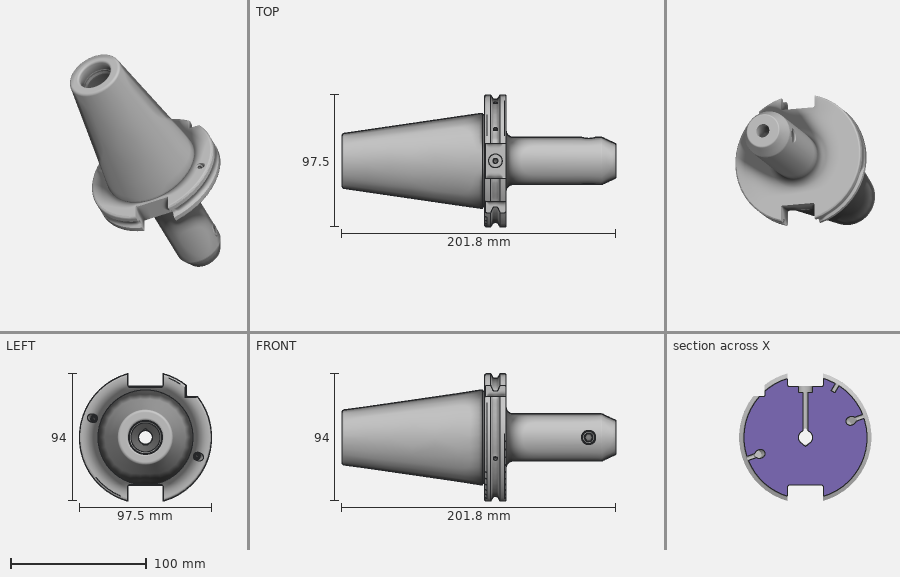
import cadquery as cq
import math

TOTAL_LENGTH = 201.8
GAUGE_X = 102.3
FLANGE_FRONT_X = 105.0
FLANGE_BACK_X = 120.8
GROOVE_X = 113.0
CLAMP_X = 181.5

GAUGE_RADIUS = 70.0 / 2
TAPER_RATIO = 7 / 24
SMALL_END_RADIUS = GAUGE_RADIUS - GAUGE_X * TAPER_RATIO / 2
SMALL_END_FILLET = 2.0
NECK_X = 103.3
NECK_RADIUS = 34.0

FLANGE_RADIUS = 97.5 / 2
FLANGE_FRONT_FILLET = 1.8
FLANGE_BACK_FILLET = 1.2
GROOVE_DEPTH = 3.2
GROOVE_FLOOR_WIDTH = 3.2
GROOVE_WALL_ANGLE = 30.0
GROOVE_FILLET = 1.5
GROOVE_FLOOR_RADIUS = FLANGE_RADIUS - GROOVE_DEPTH
FLANGE_WIDTH = FLANGE_BACK_X - FLANGE_FRONT_X
RIM_CLEAR = FLANGE_RADIUS + 2.0

SLOT_WIDTH = 25.8
SLOT_FLOOR_TOP = 37.7
SLOT_FLOOR_BOTTOM = 35.3
NOTCH_Y = 30.0
NOTCH_Z = 30.3
CUT_CHAMFER = 0.8
CUT_CORNER_FILLET = 0.8

SHANK_RADIUS = 35.0 / 2
SHANK_FILLET = 5.0
NOSE_START_X = 191.3
NOSE_RADIUS = 12.5
NOSE_FILLET = 1.2
NOSE_START_FILLET = 2.5

MOUTH_FILLET = 1.6
COUNTERBORE_RADIUS = 12.5
COUNTERBORE_DEPTH = 8.7
THREAD_RADIUS = 12.0
THREAD_LEAD_DEPTH = 10.0
PILOT_RADIUS = 10.7
BORE_RADIUS = 5.0
CONE_END_X = 112.0
DRILL_HALF_ANGLE = 59.0
CONE_LENGTH = (PILOT_RADIUS - BORE_RADIUS) / math.tan(math.radians(DRILL_HALF_ANGLE))

POCKET_RADIUS = 5.0
POCKET_DEPTH = 4.6
CROSS_HOLE_RADIUS = 1.8
CROSS_HOLE_REACH = 5.2

COOLANT_ANGLES = (20.0, 200.0)
COOLANT_START_RADIUS = 41.5
COOLANT_TILT = 36.0
COOLANT_RADIUS = 3.0
COOLANT_DEPTH = 12.1
RIM_HOLE_RADIUS = 1.5
RIM_HOLE_DEPTH = 6.0
MARK_HOLE_ANGLE = 59.0

CLAMP_HOLE_RADIUS = 5.2
SCREW_END_Y = 17.4
SCREW_TIP_Y = 5.5
SCREW_CHAMFER = 0.8
SCREW_SOCKET_WIDTH = 5.0
SCREW_SOCKET_DEPTH = 4.0
SCREW_COUNTERSINK_RADIUS = 3.2
SCREW_COUNTERSINK_DEPTH = 0.8

PLUG_RECESS = 1.6
PLUG_LENGTH = 6.0
PLUG_CHAMFER = 0.6
PLUG_SOCKET_WIDTH = 3.0
PLUG_SOCKET_DEPTH = 2.5
PLUG_COUNTERSINK_RADIUS = 2.0
PLUG_COUNTERSINK_DEPTH = 0.5

MATCH_TOLERANCE = 0.02


def revolve_about_x(profile):
    return profile.close().revolve(360, (0, 0, 0), (1, 0, 0))


def circle_edges(solid, radius, x=None):
    """Circular edges of a turned shape with the given radius, at station x if one is given."""
    return [
        edge
        for edge in solid.edges("%CIRCLE").vals()
        if abs(edge.radius() - radius) < MATCH_TOLERANCE
        and (x is None or abs(edge.Center().x - x) < MATCH_TOLERANCE)
    ]


def round_edge(solid, x, radius, fillet):
    return solid.newObject(circle_edges(solid, radius, x)).fillet(fillet)


def outer_body():
    profile = (
        cq.Workplane("XY")
        .moveTo(0, 0)
        .lineTo(0, SMALL_END_RADIUS)
        .lineTo(GAUGE_X, GAUGE_RADIUS)
        .lineTo(NECK_X, GAUGE_RADIUS)
        .lineTo(NECK_X, NECK_RADIUS)
        .lineTo(FLANGE_FRONT_X, NECK_RADIUS)
        .lineTo(FLANGE_FRONT_X, FLANGE_RADIUS)
        .lineTo(FLANGE_BACK_X, FLANGE_RADIUS)
        .lineTo(FLANGE_BACK_X, SHANK_RADIUS)
        .lineTo(NOSE_START_X, SHANK_RADIUS)
        .lineTo(TOTAL_LENGTH, NOSE_RADIUS)
        .lineTo(TOTAL_LENGTH, 0)
    )
    body = revolve_about_x(profile)

    body = round_edge(body, 0, SMALL_END_RADIUS, SMALL_END_FILLET)
    body = round_edge(body, FLANGE_FRONT_X, FLANGE_RADIUS, FLANGE_FRONT_FILLET)
    body = round_edge(body, FLANGE_BACK_X, FLANGE_RADIUS, FLANGE_BACK_FILLET)
    body = round_edge(body, FLANGE_BACK_X, SHANK_RADIUS, SHANK_FILLET)
    body = round_edge(body, NOSE_START_X, SHANK_RADIUS, NOSE_START_FILLET)
    return round_edge(body, TOTAL_LENGTH, NOSE_RADIUS, NOSE_FILLET)


def rim_groove():
    floor_half = GROOVE_FLOOR_WIDTH / 2
    lip_half = floor_half + (RIM_CLEAR - GROOVE_FLOOR_RADIUS) * math.tan(math.radians(GROOVE_WALL_ANGLE))
    profile = (
        cq.Workplane("XY")
        .moveTo(GROOVE_X - lip_half, RIM_CLEAR)
        .lineTo(GROOVE_X - floor_half, GROOVE_FLOOR_RADIUS)
        .lineTo(GROOVE_X + floor_half, GROOVE_FLOOR_RADIUS)
        .lineTo(GROOVE_X + lip_half, RIM_CLEAR)
    )
    ring = revolve_about_x(profile)
    return ring.newObject(circle_edges(ring, GROOVE_FLOOR_RADIUS)).fillet(GROOVE_FILLET)


def floor_chamfer(y_min, y_max, z_floor):
    """Triangular bar that chamfers the front edge of a floor at z_floor."""
    c = CUT_CHAMFER
    return (
        cq.Workplane("XZ", origin=(0, y_max, 0))
        .moveTo(FLANGE_FRONT_X, z_floor)
        .lineTo(FLANGE_FRONT_X, z_floor - c)
        .lineTo(FLANGE_FRONT_X + c, z_floor)
        .close()
        .extrude(y_max - y_min)
    )


def slot_cut(z_floor):
    """Driving slot down to z_floor, with rounded floor corners and a chamfered front floor edge."""
    half = SLOT_WIDTH / 2
    block = cq.Workplane("XY").box(
        FLANGE_WIDTH, SLOT_WIDTH, RIM_CLEAR - z_floor, centered=(False, True, False)
    )
    block = block.translate((FLANGE_FRONT_X, 0, z_floor)).edges("|X and <Z").fillet(CUT_CORNER_FILLET)
    return block.union(floor_chamfer(CUT_CORNER_FILLET - half, half - CUT_CORNER_FILLET, z_floor))


def notch_cut():
    """Corner notch in the -Y, +Z rim, with its two front edges chamfered."""
    c = CUT_CHAMFER
    y_size = RIM_CLEAR - NOTCH_Y
    z_size = RIM_CLEAR - NOTCH_Z
    block = cq.Workplane("XY").box(FLANGE_WIDTH, y_size, z_size, centered=False)
    block = block.translate((FLANGE_FRONT_X, -RIM_CLEAR, NOTCH_Z))
    chamfer = (
        cq.Workplane("YZ", origin=(FLANGE_FRONT_X, 0, 0))
        .center(-RIM_CLEAR + (y_size + c) / 2, NOTCH_Z - c + (z_size + c) / 2)
        .rect(y_size + c, z_size + c)
        .workplane(offset=c)
        .center(-c / 2, c / 2)
        .rect(y_size, z_size)
        .loft(ruled=True)
    )
    return block.edges("|X and <Z and >Y").fillet(CUT_CORNER_FILLET).union(chamfer)


def central_bore():
    profile = (
        cq.Workplane("XY")
        .moveTo(0, 0)
        .lineTo(0, COUNTERBORE_RADIUS + MOUTH_FILLET)
        .radiusArc((MOUTH_FILLET, COUNTERBORE_RADIUS), -MOUTH_FILLET)
        .lineTo(COUNTERBORE_DEPTH, COUNTERBORE_RADIUS)
        .lineTo(COUNTERBORE_DEPTH, THREAD_RADIUS)
        .lineTo(THREAD_LEAD_DEPTH, THREAD_RADIUS)
        .lineTo(THREAD_LEAD_DEPTH + THREAD_RADIUS - PILOT_RADIUS, PILOT_RADIUS)
        .lineTo(CONE_END_X - CONE_LENGTH, PILOT_RADIUS)
        .lineTo(CONE_END_X, BORE_RADIUS)
        .lineTo(TOTAL_LENGTH, BORE_RADIUS)
        .lineTo(TOTAL_LENGTH, 0)
    )
    return revolve_about_x(profile)


def chip_pocket():
    plane = cq.Workplane("XY", origin=(GROOVE_X, 0, SLOT_FLOOR_TOP - POCKET_DEPTH))
    return plane.circle(POCKET_RADIUS).extrude(POCKET_DEPTH)


def cross_hole():
    """Blind hole from the chip pocket through the bore, ending in a drill point."""
    point_length = CROSS_HOLE_RADIUS / math.tan(math.radians(DRILL_HALF_ANGLE))
    return (
        cq.Workplane("XZ", origin=(GROOVE_X, 0, 0))
        .moveTo(0, SLOT_FLOOR_TOP)
        .lineTo(CROSS_HOLE_RADIUS, SLOT_FLOOR_TOP)
        .lineTo(CROSS_HOLE_RADIUS, -CROSS_HOLE_REACH)
        .lineTo(0, -CROSS_HOLE_REACH - point_length)
        .close()
        .revolve(360, (0, 0, 0), (0, 1, 0))
    )


def place_in_coolant_hole(shape, angle):
    """Turn a shape built along +Z from the origin onto the coolant hole axis at the given angle."""
    shape = shape.rotate((0, 0, 0), (0, 1, 0), 90).rotate((0, 0, 0), (0, 0, 1), -COOLANT_TILT)
    shape = shape.translate((FLANGE_FRONT_X, COOLANT_START_RADIUS, 0))
    return shape.rotate((0, 0, 0), (1, 0, 0), angle)


def coolant_hole(angle):
    lead_in = 2 * COOLANT_RADIUS
    hole = cq.Workplane("XY", origin=(0, 0, -lead_in)).circle(COOLANT_RADIUS).extrude(lead_in + COOLANT_DEPTH)
    return place_in_coolant_hole(hole, angle)


def rim_hole(angle):
    plane = cq.Workplane("XZ", origin=(GROOVE_X, FLANGE_RADIUS, 0))
    hole = plane.circle(RIM_HOLE_RADIUS).extrude(GROOVE_DEPTH + RIM_HOLE_DEPTH)
    return hole.rotate((0, 0, 0), (1, 0, 0), angle)


def clamp_hole():
    start = cq.Workplane("XZ", origin=(CLAMP_X, SHANK_RADIUS, 0))
    return start.circle(CLAMP_HOLE_RADIUS).extrude(2 * SHANK_RADIUS)


def set_screw(radius, length, chamfer, socket_width, socket_depth, countersink_radius, countersink_depth):
    """Headless screw along +Z from its socket end at the origin, with a countersunk hexagon socket."""
    screw = cq.Workplane("XY").circle(radius).extrude(length)
    screw = screw.faces("<Z").edges().chamfer(chamfer)
    across_corners = socket_width / math.cos(math.pi / 6)
    socket = cq.Workplane("XY").polygon(6, across_corners).extrude(socket_depth)
    countersink = cq.Solid.makeCone(countersink_radius, socket_width / 2, countersink_depth)
    return screw.cut(socket).cut(cq.Workplane(countersink))


def clamp_screw():
    screw = set_screw(
        CLAMP_HOLE_RADIUS,
        SCREW_END_Y - SCREW_TIP_Y,
        SCREW_CHAMFER,
        SCREW_SOCKET_WIDTH,
        SCREW_SOCKET_DEPTH,
        SCREW_COUNTERSINK_RADIUS,
        SCREW_COUNTERSINK_DEPTH,
    )
    return screw.rotate((0, 0, 0), (1, 0, 0), -90).translate((CLAMP_X, -SCREW_END_Y, 0))


def make_holder():
    holder = outer_body().cut(rim_groove())
    holder = holder.cut(slot_cut(SLOT_FLOOR_TOP))
    holder = holder.cut(slot_cut(SLOT_FLOOR_BOTTOM).rotate((0, 0, 0), (1, 0, 0), 180))
    holder = holder.cut(notch_cut())
    holder = holder.cut(central_bore()).cut(chip_pocket()).cut(cross_hole())
    for angle in COOLANT_ANGLES:
        holder = holder.cut(coolant_hole(angle)).cut(rim_hole(angle))
    holder = holder.cut(rim_hole(MARK_HOLE_ANGLE))
    return holder.cut(clamp_hole()).union(clamp_screw())


def make_plug(angle):
    plug = set_screw(
        COOLANT_RADIUS,
        PLUG_LENGTH,
        PLUG_CHAMFER,
        PLUG_SOCKET_WIDTH,
        PLUG_SOCKET_DEPTH,
        PLUG_COUNTERSINK_RADIUS,
        PLUG_COUNTERSINK_DEPTH,
    )
    return place_in_coolant_hole(plug.translate((0, 0, PLUG_RECESS)), angle)


holder = make_holder()
plugs = [make_plug(angle).val() for angle in COOLANT_ANGLES]
result = cq.Compound.makeCompound([holder.val(), *plugs])